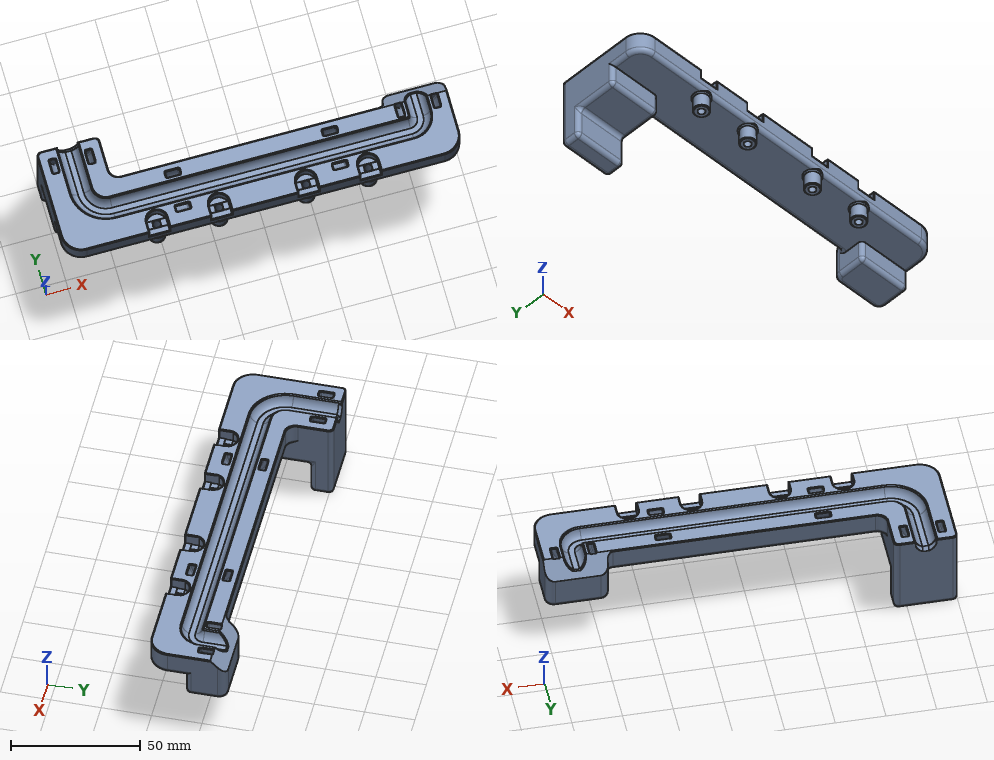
import cadquery as cq

length = 160.0
depth = 43.42
height = 34.12

plate_thickness = 9.8
bar_depth = 25.42
arm_width = 25.0
tab_back = 31.42
front_corner_radius = 8.0
arm_root_radius = 4.0
tab_corner_radius = 3.5
tab_root_radius = 2.4
edge_radius = 2.0
top_chamfer = 0.4
slope_start = bar_depth - top_chamfer
select_margin = 0.01

block_front = 15.42
block_height = 19.6
block_top = -plate_thickness / 2
leg_thickness = 9.0
leg_front = depth - leg_thickness

groove_floor_width = 2.4
groove_side_radius = 5.0
groove_width = 8.2
groove_chamfer = 0.5
groove_depth = 4.0
groove_half_width = groove_width / 2
groove_bar_y = 14.0
groove_arm_x = arm_width / 2
groove_tab_x = length - arm_width / 2
arm_bend_radius = 10.0
tab_bend_radius = 5.0
groove_dip_length = 1.4

seat_centers_x = (37.5, 62.5, 97.5, 122.5)
seat_center_y = 4.3
seat_diameter = 8.1
seat_depth = 4.4
screw_diameter = 3.1
seat_step = 0.3
pin_diameter = 6.8
pin_bottom = 17.1
pin_chamfer = 0.4
pin_flare = 0.6

tie_width = 5.6
tie_thickness = 2.4
tie_corner_radius = 0.5
tie_radius = 7.25
tie_arm_y = 36.4
tie_bar_x = (48.7, 111.9)
tie_tab_y = 22.3


def box(x0, x1, y0, y1, z0, z1):
    return cq.Workplane("XY").box(x1 - x0, y1 - y0, z1 - z0, centered=False).translate((x0, y0, z0))


def edges_within(body, low, high):
    """Edges whose centers lie between the corners low and high, borders included."""
    low = tuple(value - select_margin for value in low)
    high = tuple(value + select_margin for value in high)
    return body.edges(cq.selectors.BoxSelector(low, high))


def round_vertical(body, x, y, radius):
    """Round the vertical edge that stands at (x, y)."""
    return edges_within(body, (x, y, -height), (x, y, 0)).fillet(radius)


def make_plate():
    outline = [
        (0, 0),
        (length, 0),
        (length, tab_back),
        (length - arm_width, tab_back),
        (length - arm_width, bar_depth),
        (arm_width, bar_depth),
        (arm_width, depth),
        (0, depth),
    ]
    radii = [
        front_corner_radius,
        front_corner_radius,
        tab_corner_radius,
        tab_corner_radius,
        tab_root_radius,
        arm_root_radius,
        edge_radius,
        edge_radius,
    ]
    plate = cq.Workplane("XY").polyline(outline).close().extrude(-plate_thickness)
    for (x, y), radius in zip(outline, radii):
        plate = round_vertical(plate, x, y, radius)
    plate = plate.faces("<Z").edges().fillet(edge_radius)
    return plate.faces(">Z").edges().chamfer(top_chamfer)


def make_arm_block():
    """Block under the arm with the leg along its back; a fillet fills the corner between them."""
    block = box(0, arm_width, block_front, depth, -block_height, block_top)
    leg = box(0, arm_width, leg_front, depth, -height, block_top)
    block = block.edges("not >Z").fillet(edge_radius)
    leg = leg.edges("not >Z").fillet(edge_radius)
    low = (0, leg_front, -block_height)
    high = (arm_width, leg_front, -block_height)
    return edges_within(block.union(leg), low, high).fillet(edge_radius)


def make_tab_block():
    block = box(length - arm_width, length, block_front, tab_back, -block_height, block_top)
    for x in (length - arm_width, length):
        block = round_vertical(block, x, tab_back, tab_corner_radius)
        block = round_vertical(block, x, block_front, edge_radius)
    return block.faces("<Z").edges().fillet(edge_radius)


def groove_sides_and_floor(sketch):
    """Add the rounded sides and the floor, from the top of the left side to that of the right."""
    return (
        sketch.lineTo(-groove_half_width, -groove_chamfer)
        .radiusArc((-groove_floor_width / 2, -groove_depth), -groove_side_radius)
        .lineTo(groove_floor_width / 2, -groove_depth)
        .radiusArc((groove_half_width, -groove_chamfer), -groove_side_radius)
    )


def make_groove():
    """Groove from the back of the arm, round two bends and out over the tab."""
    path = (
        cq.Workplane("XY")
        .moveTo(groove_arm_x, depth)
        .lineTo(groove_arm_x, groove_bar_y + arm_bend_radius)
        .radiusArc((groove_arm_x + arm_bend_radius, groove_bar_y), -arm_bend_radius)
        .lineTo(groove_tab_x - tab_bend_radius, groove_bar_y)
        .radiusArc((groove_tab_x, groove_bar_y + tab_bend_radius), -tab_bend_radius)
        .lineTo(groove_tab_x, depth)
    )
    mouth_half_width = groove_half_width + groove_chamfer
    start = cq.Workplane("XZ", origin=(groove_arm_x, depth, 0)).moveTo(-mouth_half_width, 0)
    return groove_sides_and_floor(start).lineTo(mouth_half_width, 0).close().sweep(path)


def make_groove_dip():
    """End of the groove at the back of the arm, where it sinks at 45 degrees."""
    plane = cq.Workplane("XZ", origin=(groove_arm_x, depth - groove_dip_length, 0))
    start = plane.moveTo(-groove_half_width, groove_dip_length)
    section = groove_sides_and_floor(start).lineTo(groove_half_width, groove_dip_length).close()
    sinking = cq.Vector(0, groove_dip_length, -groove_dip_length)
    return cq.Workplane(cq.Solid.extrudeLinear(section.wires().val(), [], sinking))


def chamfer_groove_outlet(body):
    """Chamfer the edges where the groove runs out through the tab slope."""
    low = (groove_tab_x - groove_half_width, slope_start + groove_chamfer, -groove_depth)
    high = (groove_tab_x + groove_half_width, slope_start + groove_depth, -groove_chamfer)
    return edges_within(body, low, high).chamfer(top_chamfer)


def make_tab_slope():
    """Wedge that slopes the top of the tab down to the back at 45 degrees."""
    slope_run = depth - slope_start
    slope_width = arm_width + tab_root_radius + edge_radius
    return (
        cq.Workplane("YZ", origin=(length - slope_width, 0, 0))
        .polyline([(slope_start, 0), (depth, 0), (depth, -slope_run)])
        .close()
        .extrude(slope_width)
    )


def make_pin(x):
    """Pin below the plate, with a conical flare where it meets the underside."""
    pin_radius = pin_diameter / 2
    flare_radius = pin_radius + pin_flare
    pin_top = -plate_thickness + edge_radius
    return (
        cq.Workplane("XZ")
        .polyline(
            [
                (0, pin_top),
                (0, -pin_bottom),
                (pin_radius - pin_chamfer, -pin_bottom),
                (pin_radius, -pin_bottom + pin_chamfer),
                (pin_radius, -plate_thickness - pin_flare),
                (flare_radius, -plate_thickness),
                (flare_radius, pin_top),
            ]
        )
        .close()
        .revolve(360, (0, 0, 0), (0, 1, 0))
        .translate((x, seat_center_y, 0))
    )


def make_seat(x):
    """Screw head pocket, open to the front, with two small steps above the through hole."""
    head_radius = seat_diameter / 2
    hole_radius = screw_diameter / 2
    mouth_radius = head_radius + top_chamfer

    pocket = cq.Workplane("XY").circle(head_radius).extrude(-seat_depth)
    pocket = pocket.union(box(-head_radius, head_radius, -seat_center_y, 0, -seat_depth, 0))

    front = cq.Workplane("XZ", origin=(0, -seat_center_y, 0))
    round_mouth = cq.Workplane("XY").circle(mouth_radius).extrude(-top_chamfer, taper=45)
    straight_mouth = (
        front.moveTo(-mouth_radius, 0)
        .lineTo(-head_radius, -top_chamfer)
        .lineTo(head_radius, -top_chamfer)
        .lineTo(mouth_radius, 0)
        .close()
        .extrude(-seat_center_y)
    )
    front_mouth = front.rect(2 * mouth_radius, 2 * (seat_depth + top_chamfer)).extrude(-top_chamfer, taper=45)
    pocket = pocket.union(round_mouth).union(straight_mouth).union(front_mouth)

    strip_floor = -seat_depth - seat_step
    square_floor = strip_floor - seat_step
    strip = box(-head_radius, head_radius, -hole_radius, hole_radius, strip_floor, 0)
    square = box(-hole_radius, hole_radius, -hole_radius, hole_radius, square_floor, 0)
    hole = cq.Workplane("XY").circle(hole_radius).extrude(-pin_bottom)
    return pocket.union(strip).union(square).union(hole).translate((x, seat_center_y, 0))


def make_tie_channel(x, y, turn):
    """Half ring under the groove; turn = 0 passes under a groove that runs along Y."""
    ring = (
        cq.Workplane("XZ", origin=(0, tie_width / 2, 0))
        .circle(tie_radius + tie_thickness / 2)
        .circle(tie_radius - tie_thickness / 2)
        .extrude(tie_width)
        .edges()
        .fillet(tie_corner_radius)
    )
    mouth = (
        cq.Sketch()
        .push([(-tie_radius, 0), (tie_radius, 0)])
        .rect(tie_thickness + 2 * top_chamfer, tie_width + 2 * top_chamfer)
        .reset()
        .vertices()
        .fillet(tie_corner_radius + top_chamfer)
    )
    mouths = cq.Workplane("XY").placeSketch(mouth).extrude(-top_chamfer, taper=45)
    channel = ring.union(mouths)
    return channel.rotate((0, 0, 0), (0, 0, 1), turn).translate((x, y, 0))


result = make_plate().union(make_arm_block()).union(make_tab_block())
result = result.cut(make_tab_slope())
result = result.cut(make_groove()).cut(make_groove_dip())
result = chamfer_groove_outlet(result)

for seat_x in seat_centers_x:
    result = result.union(make_pin(seat_x)).cut(make_seat(seat_x))

for tie_x in tie_bar_x:
    result = result.cut(make_tie_channel(tie_x, groove_bar_y, 90))
result = result.cut(make_tie_channel(groove_arm_x, tie_arm_y, 0))
result = result.cut(make_tie_channel(groove_tab_x, tie_tab_y, 0))